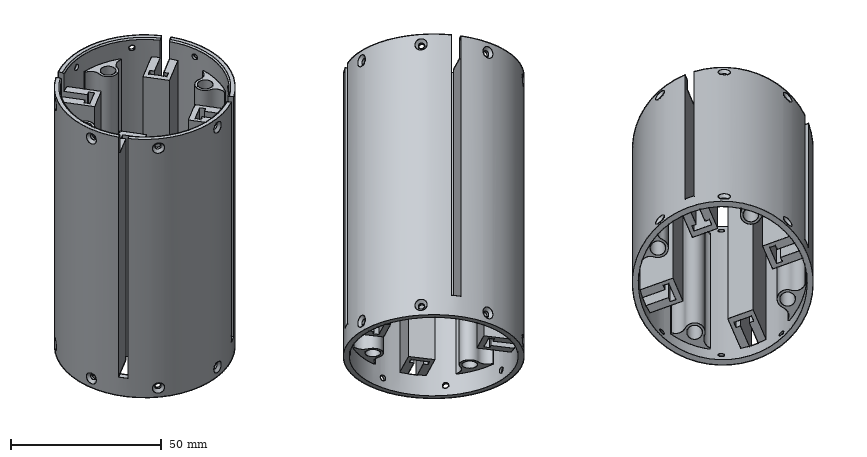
import cadquery as cq
import math

HEIGHT = 105.0
OUTER_RADIUS = 60.0 / 2
BORE_RADIUS = 56.0 / 2
RIM_CHAMFER = 0.5

COLLAR_HEIGHT = 7.6
INNER_LENGTH = HEIGHT - 2 * COLLAR_HEIGHT

RAIL_COUNT = 4
RAIL_FIRST_ANGLE = 45.0
RAIL_WIDTH = 9.0
RAIL_INNER_RADIUS = 16.0
RAIL_BACK_THICKNESS = 2.0
SLOT_WIDTH = 3.2
T_HEAD_WIDTH = 6.3
T_HEAD_DEPTH = 2.0

BOSS_COUNT = 4
BOSS_CENTER_RADIUS = 23.4
BOSS_RADIUS = 3.5
BOSS_HOLE_DIAMETER = 5.1
FLARE_CENTER_RADIUS = 23.0
FLARE_HALF_WIDTH = 7.0

SCREW_COUNT = 8
SCREW_FIRST_ANGLE = 22.5
SCREW_DIAMETER = 2.1
SCREW_HEAD_DIAMETER = 4.2
SCREW_HEIGHTS = (COLLAR_HEIGHT / 2, HEIGHT - COLLAR_HEIGHT / 2)

MERGE_RADIUS = (BORE_RADIUS + OUTER_RADIUS) / 2
CLEARANCE = 1.0


def rotated_copies(shape, count, first_angle):
    """Return copies of a shape lying along +X, evenly spaced around Z."""
    step = 360 / count
    return [shape.rotate((0, 0, 0), (0, 0, 1), first_angle + i * step) for i in range(count)]


def radial_box(inner_radius, outer_radius, width, bottom, top):
    """Return a box along +X between two radii, centred on the X axis."""
    return (
        cq.Workplane("XY", origin=(inner_radius, 0, bottom))
        .box(outer_radius - inner_radius, width, top - bottom, centered=(False, True, False))
    )


def make_tube():
    tube = cq.Workplane("XY").circle(OUTER_RADIUS).circle(BORE_RADIUS).extrude(HEIGHT)
    bore_rim = cq.selectors.RadiusNthSelector(0)
    return tube.faces(">Z").edges(bore_rim).chamfer(RIM_CHAMFER)


def make_rail():
    return radial_box(
        RAIL_INNER_RADIUS, MERGE_RADIUS, RAIL_WIDTH, COLLAR_HEIGHT, HEIGHT - COLLAR_HEIGHT
    )


def make_t_slot():
    """Return the T-slot cutter, whose neck opens through the wall and the top rim."""
    head_inner_radius = RAIL_INNER_RADIUS + RAIL_BACK_THICKNESS
    head_outer_radius = head_inner_radius + T_HEAD_DEPTH
    top = HEIGHT + CLEARANCE
    head = radial_box(head_inner_radius, head_outer_radius, T_HEAD_WIDTH, COLLAR_HEIGHT, top)
    neck = radial_box(
        head_inner_radius, OUTER_RADIUS + CLEARANCE, SLOT_WIDTH, COLLAR_HEIGHT, top
    )
    return head.union(neck)


def make_boss():
    """Return a round boss whose sides flare into the wall through tangent concave arcs."""
    offset = FLARE_CENTER_RADIUS - BOSS_CENTER_RADIUS
    center_distance = math.hypot(offset, FLARE_HALF_WIDTH)
    flare_radius = center_distance - BOSS_RADIUS

    touch_ratio = BOSS_RADIUS / center_distance
    touch_x = BOSS_CENTER_RADIUS + offset * touch_ratio
    touch_y = FLARE_HALF_WIDTH * touch_ratio

    arc_reach = flare_radius * math.sqrt(0.5)
    middle_x = FLARE_CENTER_RADIUS + arc_reach
    middle_y = FLARE_HALF_WIDTH - arc_reach
    end_x = FLARE_CENTER_RADIUS + flare_radius
    merge_x = math.sqrt(MERGE_RADIUS**2 - FLARE_HALF_WIDTH**2)
    return (
        cq.Workplane("XY", origin=(0, 0, COLLAR_HEIGHT))
        .moveTo(touch_x, -touch_y)
        .threePointArc((BOSS_CENTER_RADIUS - BOSS_RADIUS, 0), (touch_x, touch_y))
        .threePointArc((middle_x, middle_y), (end_x, FLARE_HALF_WIDTH))
        .lineTo(merge_x, FLARE_HALF_WIDTH)
        .threePointArc((MERGE_RADIUS, 0), (merge_x, -FLARE_HALF_WIDTH))
        .lineTo(end_x, -FLARE_HALF_WIDTH)
        .threePointArc((middle_x, -middle_y), (touch_x, -touch_y))
        .close()
        .extrude(INNER_LENGTH)
    )


def make_boss_hole():
    return (
        cq.Workplane("XY", origin=(BOSS_CENTER_RADIUS, 0, COLLAR_HEIGHT))
        .circle(BOSS_HOLE_DIAMETER / 2)
        .extrude(INNER_LENGTH)
    )


def make_screw_hole(height):
    """Return a radial screw cutter with a 90 degree countersink at the outer surface."""
    shank_radius = SCREW_DIAMETER / 2
    head_radius = SCREW_HEAD_DIAMETER / 2
    inner_end = BORE_RADIUS - CLEARANCE
    outer_end = OUTER_RADIUS + CLEARANCE
    head_start = OUTER_RADIUS - (head_radius - shank_radius)
    return (
        cq.Workplane("XZ")
        .moveTo(inner_end, 0)
        .lineTo(inner_end, shank_radius)
        .lineTo(head_start, shank_radius)
        .lineTo(outer_end, head_radius + CLEARANCE)
        .lineTo(outer_end, 0)
        .close()
        .revolve(360, (0, 0, 0), (1, 0, 0))
        .translate((0, 0, height))
    )


result = make_tube()

for rail in rotated_copies(make_rail(), RAIL_COUNT, RAIL_FIRST_ANGLE):
    result = result.union(rail)

for boss in rotated_copies(make_boss(), BOSS_COUNT, 0):
    result = result.union(boss)

for t_slot in rotated_copies(make_t_slot(), RAIL_COUNT, RAIL_FIRST_ANGLE):
    result = result.cut(t_slot)

for boss_hole in rotated_copies(make_boss_hole(), BOSS_COUNT, 0):
    result = result.cut(boss_hole)

for screw_height in SCREW_HEIGHTS:
    for screw in rotated_copies(make_screw_hole(screw_height), SCREW_COUNT, SCREW_FIRST_ANGLE):
        result = result.cut(screw)